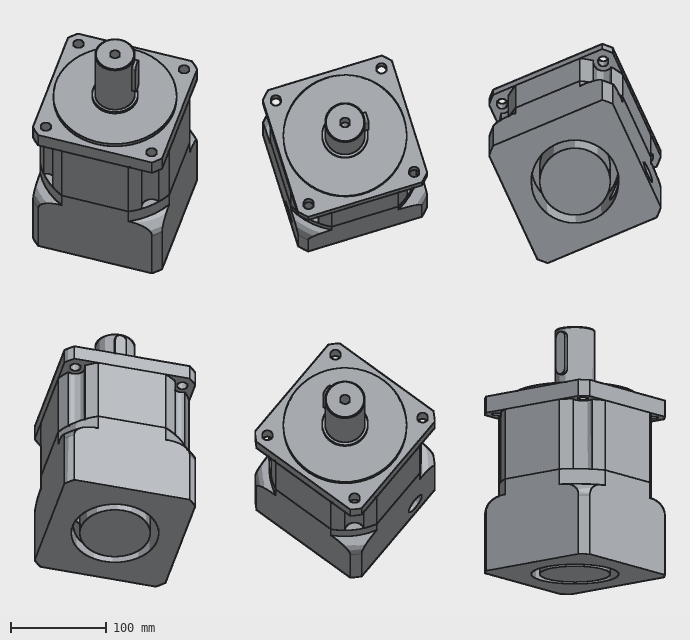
import cadquery as cq
import math

side = 142.0
corner_radius = 94.5
waist_radius = 80.0

ring_bottom = 95.0
ring_top = 170.3
flange_top = 187.9
pilot_top = 192.0
collar_top = 194.7
shaft_top = 262.0

pilot_radius = 64.7
collar_radius = 24.0
shaft_radius = 21.0
shaft_chamfer = 1.0
center_hole_diameter = 10.5
center_hole_depth = 26.2
center_hole_point_angle = 118.0

key_width = 12.0
key_bottom = 211.2
key_top = 257.0
key_outer_x = 24.4

bolt_spacing = 116.0
bolt_hole_diameter = 11.0
bolt_groove_diameter = 21.0

shoulder_top = 78.5
hub_radius = 37.0
cavity_radius = 45.8
access_hole_diameter = 22.5
access_hole_y = -29.0
access_hole_z = 25.7
cavity_depth = 2 * access_hole_z


def cylinder(radius, bottom, top):
    """Cylinder on the gearbox axis."""
    return cq.Workplane("XY").workplane(offset=bottom).circle(radius).extrude(top - bottom)


def square_prism(bottom, top):
    """Square block centered on the gearbox axis."""
    return cq.Workplane("XY").workplane(offset=bottom).rect(side, side).extrude(top - bottom)


def bolt_cylinders(diameter, bottom, top):
    """Four cylinders on the mounting bolt positions."""
    return (
        cq.Workplane("XY")
        .workplane(offset=bottom)
        .rect(bolt_spacing, bolt_spacing, forConstruction=True)
        .vertices()
        .circle(diameter / 2)
        .extrude(top - bottom)
    )


def make_shaft():
    """Shaft with a chamfered end and a drilled center hole with a conical bottom."""
    hole_radius = center_hole_diameter / 2
    point_depth = hole_radius / math.tan(math.radians(center_hole_point_angle / 2))
    hole_bottom = shaft_top - center_hole_depth
    shaft = cylinder(shaft_radius, pilot_top, shaft_top).faces(">Z").chamfer(shaft_chamfer)
    center_hole = (
        cq.Workplane("XZ")
        .moveTo(0, shaft_top)
        .lineTo(hole_radius, shaft_top)
        .lineTo(hole_radius, hole_bottom)
        .lineTo(0, hole_bottom - point_depth)
        .close()
        .revolve(360, (0, 0), (0, 1))
    )
    return shaft.cut(center_hole)


def make_key():
    """Round-ended key that stands out of the shaft and starts inside it."""
    key_root_x = shaft_radius - key_width / 2
    return (
        cq.Workplane("YZ")
        .workplane(offset=key_root_x)
        .center(0, (key_bottom + key_top) / 2)
        .slot2D(key_top - key_bottom, key_width, 90)
        .extrude(key_outer_x - key_root_x)
    )


def make_output_unit():
    """Bolt flange with pilot, collar and keyed output shaft."""
    flange = square_prism(ring_top, flange_top).intersect(cylinder(corner_radius, ring_top, flange_top))
    flange = flange.cut(bolt_cylinders(bolt_hole_diameter, ring_top, flange_top))
    pilot = cylinder(pilot_radius, flange_top, pilot_top)
    collar = cylinder(collar_radius, pilot_top, collar_top)
    return flange.union(pilot).union(make_shaft()).union(collar).union(make_key())


def make_ring_housing():
    """Square housing with round corners, grooved to clear the mounting bolts."""
    housing = square_prism(ring_bottom, ring_top).intersect(cylinder(waist_radius, ring_bottom, ring_top))
    return housing.cut(bolt_cylinders(bolt_groove_diameter, ring_bottom, ring_top))


def make_adapter():
    """Motor adapter with rounded corner shoulders and a hub inside an annular cavity."""
    shoulder_radius = corner_radius - waist_radius
    foot = cylinder(corner_radius, 0, shoulder_top).faces(">Z").edges().fillet(shoulder_radius)
    neck = cylinder(waist_radius, shoulder_top, ring_bottom)
    body = square_prism(0, ring_bottom).intersect(foot.union(neck))

    cavity = cylinder(cavity_radius, 0, cavity_depth).cut(cylinder(hub_radius, 0, cavity_depth))
    access_hole = (
        cq.Workplane("YZ")
        .workplane(offset=-side / 2)
        .center(access_hole_y, access_hole_z)
        .circle(access_hole_diameter / 2)
        .extrude(side / 2)
        .cut(cylinder(hub_radius, 0, cavity_depth))
    )
    return body.cut(cavity).cut(access_hole)


output_unit = make_output_unit()
ring_housing = make_ring_housing()
adapter = make_adapter()

result = cq.Compound.makeCompound([output_unit.val(), ring_housing.val(), adapter.val()])